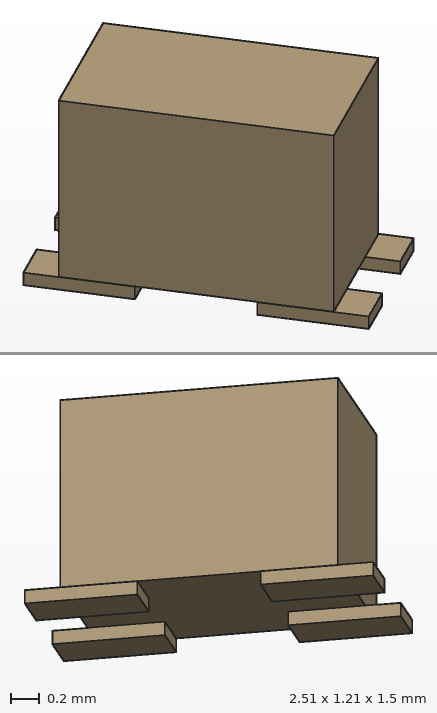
import cadquery as cq

FOOTPRINT_LENGTH = 2.51
FOOTPRINT_WIDTH = 1.21

HOUSING_LENGTH = 2.0
HOUSING_WIDTH = 1.2
HOUSING_HEIGHT = 1.4

TERMINAL_LENGTH = 0.81
TERMINAL_WIDTH = 0.36
TERMINAL_THICKNESS = 0.1

TERMINAL_X = (FOOTPRINT_LENGTH - TERMINAL_LENGTH) / 2
TERMINAL_Y = (FOOTPRINT_WIDTH - TERMINAL_WIDTH) / 2


def block(length, width, height):
    """Box centred in X and Y, with its bottom face at Z = 0."""
    return cq.Workplane("XY").box(length, width, height, centered=(True, True, False))


def make_housing():
    """Plain housing block whose bottom face sits on top of the terminals."""
    housing_block = block(HOUSING_LENGTH, HOUSING_WIDTH, HOUSING_HEIGHT)
    return housing_block.translate((0, 0, TERMINAL_THICKNESS))


def make_terminal(x_side, y_side):
    """Flat terminal in the corner given by the signs x_side and y_side."""
    terminal_block = block(TERMINAL_LENGTH, TERMINAL_WIDTH, TERMINAL_THICKNESS)
    return terminal_block.translate((x_side * TERMINAL_X, y_side * TERMINAL_Y, 0))


housing = make_housing()
terminals = [make_terminal(x_side, y_side) for x_side in (-1, 1) for y_side in (-1, 1)]

result = cq.Compound.makeCompound([housing.val(), *[terminal.val() for terminal in terminals]])